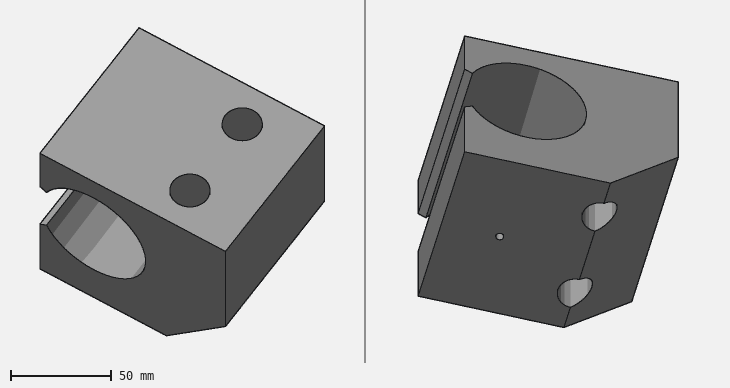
import cadquery as cq

length = 110.0
width = 91.0
height = 100.0
corner_cut = 35.0

bore_diameter = 62.0
bore_x = 31.7
bore_z = 55.0
lip_depth = 4.4
mouth_half_outer = 16.3
mouth_half_inner = 13.9

bolt_x = length - corner_cut
bolt_spacing = 48.0
bolt_upper_diameter = 20.0
bolt_lower_diameter = 17.5
bolt_upper_depth = 44.0

drain_diameter = 4.0
drain_x = 30.0


def make_block():
    """Block with its lower rear corner cut off at 45 degrees."""
    return (
        cq.Workplane("XZ")
        .polyline([
            (0, 0),
            (length - corner_cut, 0),
            (length, corner_cut),
            (length, height),
            (0, height),
        ])
        .close()
        .extrude(-width)
    )


def make_bore():
    """Round bore joined to a mouth that widens toward the front face."""
    round_bore = (
        cq.Workplane("XZ")
        .center(bore_x, bore_z)
        .circle(bore_diameter / 2)
        .extrude(-width)
    )
    mouth = (
        cq.Workplane("XZ")
        .polyline([
            (0, bore_z - mouth_half_outer),
            (lip_depth, bore_z - mouth_half_inner),
            (bore_x, bore_z - mouth_half_inner),
            (bore_x, bore_z + mouth_half_inner),
            (lip_depth, bore_z + mouth_half_inner),
            (0, bore_z + mouth_half_outer),
        ])
        .close()
        .extrude(-width)
    )
    return round_bore.union(mouth)


def make_vertical_hole(x, y, diameter, bottom, top):
    """Cutting cylinder along Z between two heights."""
    return (
        cq.Workplane("XY", origin=(x, y, bottom))
        .circle(diameter / 2)
        .extrude(top - bottom)
    )


result = make_block().cut(make_bore())

for side in (-1, 1):
    bolt_y = width / 2 + side * bolt_spacing / 2
    step_z = height - bolt_upper_depth
    result = result.cut(make_vertical_hole(bolt_x, bolt_y, bolt_lower_diameter, 0, height))
    result = result.cut(make_vertical_hole(bolt_x, bolt_y, bolt_upper_diameter, step_z, height))

result = result.cut(make_vertical_hole(drain_x, width / 2, drain_diameter, 0, bore_z))